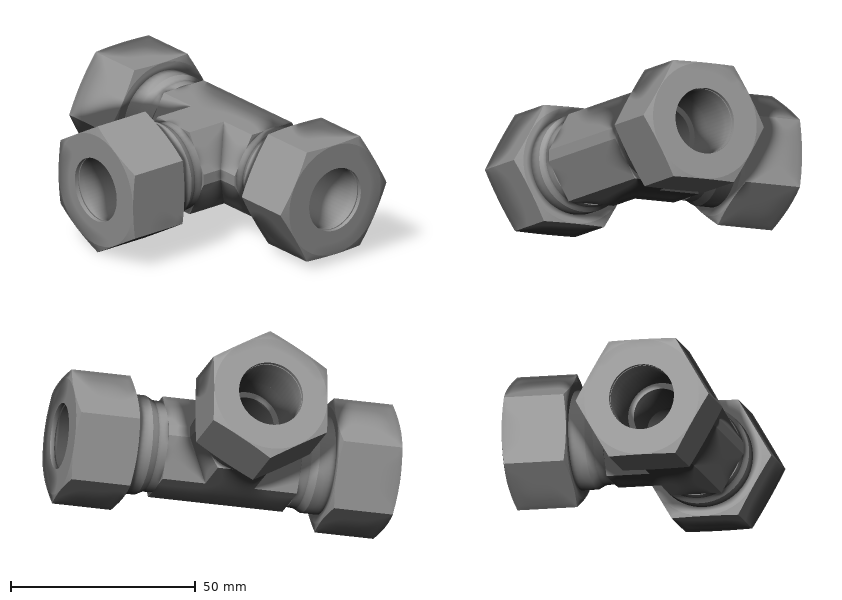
import cadquery as cq
import math


hex_sides = 6
span = 92.0
nut_end = span / 2

body_flats = 24.0
body_width = 25.9
body_end = 18.95
neck_radius = 12.3
neck_length = 2.6
neck_flare = 0.2
cone_length = 2.0
collar_radius = 13.5
thread_radius = 13.0
spigot_end = 31.0
tube_radius = 9.0
tube_stop = 23.5
bore_radius = 7.45

nut_flats = 32.0
nut_length = 17.9
nut_lip = 1.2
ring_gap = 0.4
nut_chamfer_angle = 15.0
nut_face_inset = 0.1

nut_face_radius = nut_flats / 2 - nut_face_inset
nut_start = nut_end - nut_length
lip_start = nut_end - nut_lip
ring_end = lip_start - ring_gap
nut_corner_radius = nut_flats / 2 / math.cos(math.pi / hex_sides)
body_corner_diameter = body_flats / math.cos(math.pi / hex_sides)

ends = [(0, 0), (180, 0), (-90, 30)]


def turned_to(shape, angle):
    """Turn a shape that points along +X about the Z axis."""
    return shape.rotate((0, 0, 0), (0, 0, 1), angle)


def cylinder(radius, start, end):
    """Cylinder along the X axis."""
    return cq.Workplane("YZ", origin=(start, 0, 0)).circle(radius).extrude(end - start)


def hexagon_bar(corner_diameter, start, end):
    """Hexagonal bar along the X axis, with flats at top and bottom."""
    return cq.Workplane("YZ", origin=(start, 0, 0)).polygon(hex_sides, corner_diameter).extrude(end - start)


def forged_arm():
    """Forged section from the centre to one end, with its side corners cut off."""
    arm = hexagon_bar(body_corner_diameter, 0, body_end)
    side_limits = cq.Workplane("XY").box(2 * body_end, body_width, body_flats)
    return arm.intersect(side_limits)


def spigot():
    """Turned end: flared neck, cone, collar and threaded part."""
    neck_end = body_end + neck_length
    neck_end_radius = neck_radius + neck_flare
    return (
        cq.Workplane("XY")
        .moveTo(body_end, 0)
        .lineTo(body_end, neck_radius)
        .lineTo(neck_end, neck_end_radius)
        .lineTo(neck_end + cone_length, collar_radius)
        .lineTo(nut_start, collar_radius)
        .lineTo(nut_start, thread_radius)
        .lineTo(spigot_end, thread_radius)
        .lineTo(spigot_end, 0)
        .close()
        .revolve(360, (0, 0, 0), (1, 0, 0))
    )


def end_bore():
    """Through bore with the wider tube socket."""
    return cylinder(bore_radius, 0, spigot_end).union(cylinder(tube_radius, tube_stop, spigot_end))


def make_housing():
    housing = forged_arm()
    for angle, _ in ends:
        housing = housing.union(turned_to(forged_arm(), angle)).union(turned_to(spigot(), angle))
    for angle, _ in ends:
        housing = housing.cut(turned_to(end_bore(), angle))
    return housing


def make_nut(angle, roll):
    """Union nut with both ends chamfered, a thread bore and a smaller mouth."""
    chamfer_length = (nut_corner_radius - nut_face_radius) * math.tan(math.radians(nut_chamfer_angle))
    chamfer_limits = (
        cq.Workplane("XY")
        .polyline([
            (nut_start, 0),
            (nut_start, nut_face_radius),
            (nut_start + chamfer_length, nut_corner_radius),
            (nut_end - chamfer_length, nut_corner_radius),
            (nut_end, nut_face_radius),
            (nut_end, 0),
        ])
        .close()
        .revolve(360, (0, 0, 0), (1, 0, 0))
    )
    nut = (
        hexagon_bar(2 * nut_corner_radius, nut_start, nut_end)
        .rotate((0, 0, 0), (1, 0, 0), roll)
        .intersect(chamfer_limits)
        .cut(cylinder(thread_radius, nut_start, lip_start))
        .cut(cylinder(tube_radius, lip_start, nut_end))
    )
    return turned_to(nut, angle)


def make_ring(angle):
    """Clamping ring on the end of the spigot, with a small gap to the lip of the nut."""
    ring = cylinder(thread_radius, spigot_end, ring_end).cut(cylinder(tube_radius, spigot_end, ring_end))
    return turned_to(ring, angle)


housing = make_housing()
nuts = [make_nut(angle, roll) for angle, roll in ends]
rings = [make_ring(angle) for angle, _ in ends]

result = cq.Compound.makeCompound(
    [housing.val()] + [nut.val() for nut in nuts] + [ring.val() for ring in rings]
)